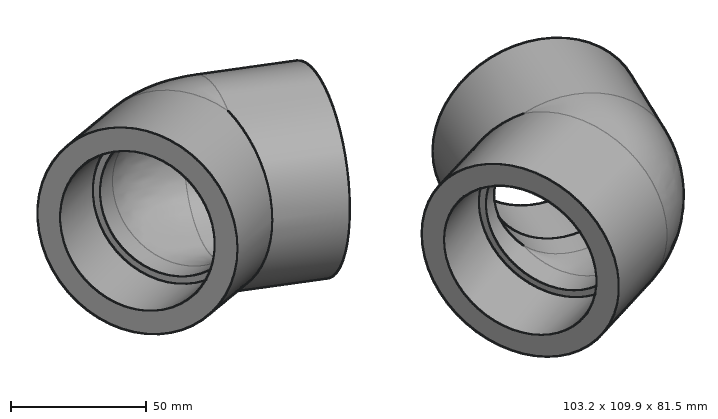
import cadquery as cq
import math

outer_diameter = 81.5
bore_diameter = 57.1
socket_diameter = 63.0
socket_depth = 28.8
overall_length = 109.9
bend_radius = 18.6
bend_angle = 45

turn = math.radians(bend_angle)
center_to_end = (overall_length - outer_diameter / 2 * math.sin(turn)) / (1 + math.cos(turn))
leg_length = center_to_end - bend_radius * math.tan(turn / 2)
pivot = (bend_radius, leg_length)


def turned(leg):
    """Turn a copy of the first leg around the pivot; its end then faces the other way."""
    across = leg.mirror("XZ", (0, leg_length, 0))
    return across.rotate((*pivot, 0), (*pivot, 1), -bend_angle)


def leg_cylinder(diameter, length):
    """Cylinder on the first leg's axis, running inward from its end face at Y = 0."""
    return cq.Workplane("XZ").circle(diameter / 2).extrude(-length)


def bend(diameter):
    """Sweep the part of the pipe section outside the pivot axis through the bend."""
    radius = diameter / 2
    half_chord = math.sqrt(radius**2 - bend_radius**2)
    return (
        cq.Workplane("XZ", origin=(0, leg_length, 0))
        .moveTo(bend_radius, -half_chord)
        .threePointArc((-radius, 0), (bend_radius, half_chord))
        .close()
        .revolve(bend_angle, (bend_radius, 0), (bend_radius, -1))
    )


def elbow(diameter):
    """Solid elbow: two straight legs joined by the bend."""
    leg = leg_cylinder(diameter, leg_length)
    return leg.union(bend(diameter)).union(turned(leg))


socket = leg_cylinder(socket_diameter, socket_depth)

result = elbow(outer_diameter).cut(elbow(bore_diameter)).cut(socket).cut(turned(socket))